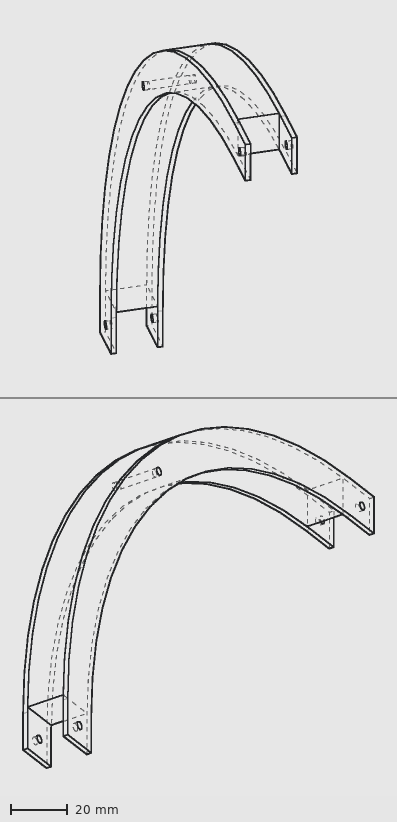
import cadquery as cq
import math

overall_size = 195.0
band_width = 15.0
straight_length = 15.0
total_thickness = 19.0
plate_thickness = 2.0
hole_diameter = 3.0
core_setback = 17.0

outer_radius = overall_size - straight_length
inner_radius = outer_radius - band_width
middle_radius = outer_radius - band_width / 2
core_thickness = total_thickness - 2 * plate_thickness

right_edge = overall_size / 2
bottom_edge = -overall_size / 2

center_x = right_edge - straight_length
center_z = bottom_edge + straight_length


def bend_middle(radius):
    """Point halfway round the bend, at 45 degrees up and to the left."""
    offset = radius * math.sqrt(0.5)
    return (center_x - offset, center_z + offset)


def curved_band(thickness, front_y):
    """Quarter bend with two straight ends, extruded along +Y from front_y."""
    return (
        cq.Workplane("XZ", origin=(0, front_y, 0))
        .moveTo(right_edge, center_z + outer_radius)
        .lineTo(center_x, center_z + outer_radius)
        .threePointArc(bend_middle(outer_radius), (center_x - outer_radius, center_z))
        .lineTo(center_x - outer_radius, bottom_edge)
        .lineTo(center_x - inner_radius, bottom_edge)
        .lineTo(center_x - inner_radius, center_z)
        .threePointArc(bend_middle(inner_radius), (center_x, center_z + inner_radius))
        .lineTo(right_edge, center_z + inner_radius)
        .close()
        .extrude(-thickness)
    )


def drill(body, centers):
    """Cut holes along Y right through a body."""
    cutter = (
        cq.Workplane("XZ")
        .pushPoints(centers)
        .circle(hole_diameter / 2)
        .extrude(total_thickness, both=True)
    )
    return body.cut(cutter)


end_hole_setback = straight_length / 2
middle_hole = bend_middle(middle_radius)
upper_hole = (right_edge - end_hole_setback, center_z + middle_radius)
lower_hole = (center_x - middle_radius, bottom_edge + end_hole_setback)


def side_plate(front_y):
    """Curved plate with a hole at each end and one halfway."""
    plate = curved_band(plate_thickness, front_y)
    return drill(plate, [upper_hole, middle_hole, lower_hole])


def spacer_core():
    """Band between the plates, cut square short of both plate ends."""
    core_span = overall_size - core_setback
    kept_region = (
        cq.Workplane("XY")
        .box(core_span, core_thickness, core_span)
        .translate((-core_setback / 2, 0, core_setback / 2))
    )
    core = curved_band(core_thickness, -core_thickness / 2).intersect(kept_region)
    return drill(core, [middle_hole])


plate_front_faces = [-total_thickness / 2, core_thickness / 2]
plates = [side_plate(front_y) for front_y in plate_front_faces]
core = spacer_core()

result = cq.Compound.makeCompound([core.val(), *[plate.val() for plate in plates]])